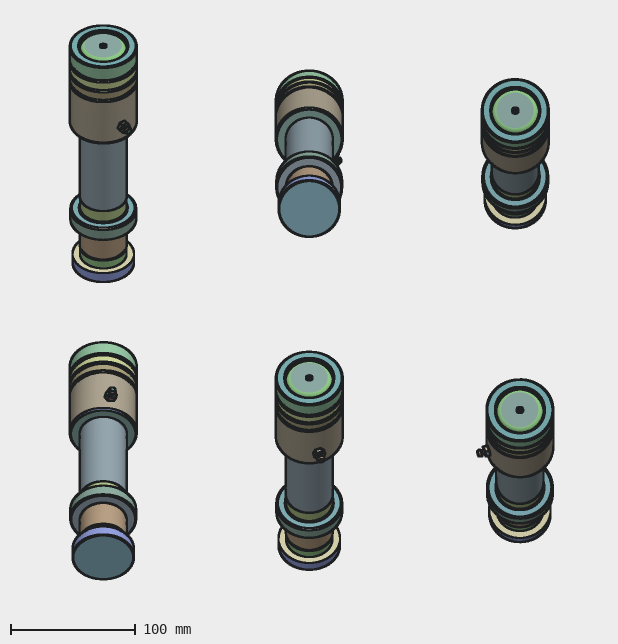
import cadquery as cq
import math

total_height = 225.0
disc_height = 10.0
post_bottom = 18.0
flange_bottom = 45.0
flange_top = 57.4
shaft_bottom = 69.3
bushing_bottom = 145.0

shaft_radius = 38.0 / 2
neck_radius = 37.5 / 2
relief_radius = 18.2
relief_height = 1.4
flange_radius = 26.5
flange_bottom_chamfer = 1.0
flange_top_chamfer = 1.4
flange_root_chamfer = 1.0
post_end_chamfer = 1.4
post_top_fillet = 4.0
centre_hole_radius = 1.4
centre_hole_depth = 4.5
centre_hole_chamfer = 1.4
centre_hole_tip_depth = 1.0

disc_radius = 24.8
disc_edge_chamfer = 0.7

bushing_radius = 27.0
bushing_top_chamfer = 1.0
bushing_lead_height = 2.0
bushing_lead_width = 1.1
bore_chamfer = 1.1
groove_count = 3
groove_pitch = 10.1
top_groove_height = 210.2
groove_mouth = 2.5
groove_depth = 1.4

nipple_height = 160.2
nipple_angle = -15.0
nipple_seat = 26.5
nipple_reach = 35.8
hex_across_flats = 8.0
hex_length = 3.5
hex_turn = 5.0
stem_radius = 1.8
head_radius = 3.2
head_length = 3.4
head_back_length = 1.0
head_tip_radius = 2.2


def revolve_profile(points):
    """Revolve a closed (radius, height) outline about the Z axis."""
    return cq.Workplane("XZ").polyline(points).close().revolve(360, (0, 0, 0), (0, 1, 0))


def make_post():
    """Stepped guide post with a clamping flange, resting on the clamp washer."""
    body = (
        cq.Workplane("XY").workplane(offset=shaft_bottom)
        .circle(shaft_radius).extrude(total_height - shaft_bottom)
        .faces(">Z").edges().fillet(post_top_fillet)
    )
    flange = (
        cq.Workplane("XY").workplane(offset=flange_bottom)
        .circle(flange_radius).extrude(flange_top - flange_bottom)
        .faces(">Z").edges().chamfer(flange_top_chamfer)
        .faces("<Z").edges().chamfer(flange_bottom_chamfer)
    )
    neck_and_tail = revolve_profile([
        (0, post_bottom),
        (shaft_radius - post_end_chamfer, post_bottom),
        (shaft_radius, post_bottom + post_end_chamfer),
        (shaft_radius, flange_bottom - relief_height),
        (relief_radius, flange_bottom),
        (relief_radius, flange_top),
        (neck_radius + flange_root_chamfer, flange_top),
        (neck_radius, flange_top + flange_root_chamfer),
        (neck_radius, shaft_bottom),
        (0, shaft_bottom),
    ])
    centre_hole = revolve_profile([
        (0, total_height),
        (centre_hole_radius + centre_hole_chamfer, total_height),
        (centre_hole_radius, total_height - centre_hole_chamfer),
        (centre_hole_radius, total_height - centre_hole_depth),
        (0, total_height - centre_hole_depth - centre_hole_tip_depth),
    ])
    return body.union(flange).union(neck_and_tail).cut(centre_hole)


def make_clamp_washer():
    """Disc with a short neck that meets the lower end of the post."""
    disc = cq.Workplane("XY").circle(disc_radius).extrude(disc_height)
    disc = disc.faces("<Z").edges().chamfer(disc_edge_chamfer)
    neck = cq.Workplane("XY").circle(neck_radius).extrude(post_bottom)
    return disc.union(neck)


def make_nipple():
    """Grease nipple, a hexagon carrying a stem and a tapered head, pointing out of the bushing."""
    hex_side_count = 6
    hex_across_corners = hex_across_flats / math.cos(math.pi / hex_side_count)
    hexagon = (
        cq.Workplane("YZ").workplane(offset=nipple_seat)
        .polygon(hex_side_count, hex_across_corners).extrude(hex_length)
        .rotate((0, 0, 0), (1, 0, 0), hex_turn)
    )
    head_start = nipple_reach - head_length
    stem_and_head = (
        cq.Workplane("XY")
        .polyline([
            (nipple_seat, 0),
            (nipple_seat, stem_radius),
            (head_start, stem_radius),
            (head_start + head_back_length, head_radius),
            (nipple_reach, head_tip_radius),
            (nipple_reach, 0),
        ])
        .close().revolve(360, (0, 0, 0), (1, 0, 0))
    )
    nipple = hexagon.union(stem_and_head).translate((0, 0, nipple_height))
    return nipple.rotate((0, 0, 0), (0, 0, 1), nipple_angle)


def make_groove(height):
    """Ring with a V section, for one groove around the bushing."""
    return revolve_profile([
        (bushing_radius, height - groove_mouth / 2),
        (bushing_radius - groove_depth, height),
        (bushing_radius, height + groove_mouth / 2),
    ])


def make_bushing(nipple):
    """Grooved guide bushing around the top of the post, with a seat for the nipple."""
    bushing = revolve_profile([
        (shaft_radius, bushing_bottom),
        (bushing_radius - bushing_lead_width, bushing_bottom),
        (bushing_radius, bushing_bottom + bushing_lead_height),
        (bushing_radius, total_height - bushing_top_chamfer),
        (bushing_radius - bushing_top_chamfer, total_height),
        (shaft_radius + bore_chamfer, total_height),
        (shaft_radius, total_height - bore_chamfer),
    ])
    for index in range(groove_count):
        bushing = bushing.cut(make_groove(top_groove_height - index * groove_pitch))
    return bushing.cut(nipple)


post = make_post()
clamp_washer = make_clamp_washer()
nipple = make_nipple()
bushing = make_bushing(nipple)

result = cq.Compound.makeCompound([
    post.val(),
    clamp_washer.val(),
    bushing.val(),
    nipple.val(),
])